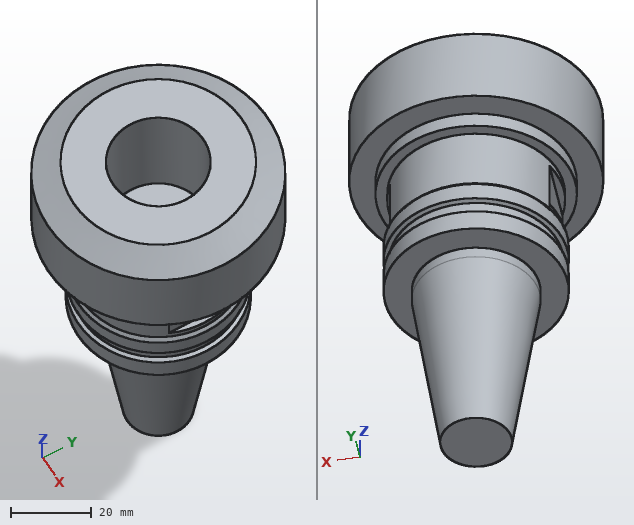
import cadquery as cq

total_height = 113.8
nut_shoulder_z = 108.9
nut_bottom_z = 88.0
collar_bottom_z = 83.9
flange_shoulder_z = 66.0
flange_bottom_z = 51.0
taper_top_z = 47.9

nut_diameter = 63.0
nut_face_diameter = 48.5
collar_diameter = 50.0
body_diameter = 44.2
flange_diameter = 46.0
spigot_diameter = 32.0
tip_diameter = 17.9

flange_chamfer_height = 1.1
groove_diameter = 43.5
groove_top_z = 61.2
groove_bottom_z = 56.8
groove_chamfer_height = 0.5

flat_spacing = 40.2
flat_bottom_z = 68.8
flat_height = 13.0

bore_diameter = 26.0
bore_depth = 30.7


def make_holder():
    """Revolve the stepped outline of the tool holder about Z."""
    outline = [
        (0, 0),
        (tip_diameter / 2, 0),
        (spigot_diameter / 2, taper_top_z),
        (spigot_diameter / 2, flange_bottom_z),
        (flange_diameter / 2, flange_bottom_z),
        (flange_diameter / 2, groove_bottom_z),
        (groove_diameter / 2, groove_bottom_z + groove_chamfer_height),
        (groove_diameter / 2, groove_top_z - groove_chamfer_height),
        (flange_diameter / 2, groove_top_z),
        (flange_diameter / 2, flange_shoulder_z),
        (body_diameter / 2, flange_shoulder_z + flange_chamfer_height),
        (body_diameter / 2, collar_bottom_z),
        (collar_diameter / 2, collar_bottom_z),
        (collar_diameter / 2, nut_bottom_z),
        (nut_diameter / 2, nut_bottom_z),
        (nut_diameter / 2, nut_shoulder_z),
        (nut_face_diameter / 2, total_height),
        (0, total_height),
    ]
    return cq.Workplane("XZ").polyline(outline).close().revolve(360, (0, 0), (0, 1))


def cut_wrench_flats(holder):
    """Cut one flat into each X side of the body."""
    cutter_depth = body_diameter / 2
    for side in (-1, 1):
        center_x = side * (flat_spacing + cutter_depth) / 2
        cutter = (
            cq.Workplane("XY", origin=(center_x, 0, flat_bottom_z))
            .rect(cutter_depth, body_diameter)
            .extrude(flat_height)
        )
        holder = holder.cut(cutter)
    return holder


def cut_bore(holder):
    """Sink the flat-bottomed bore from the top face."""
    bore = (
        cq.Workplane("XY", origin=(0, 0, total_height))
        .circle(bore_diameter / 2)
        .extrude(-bore_depth)
    )
    return holder.cut(bore)


result = cut_bore(cut_wrench_flats(make_holder()))